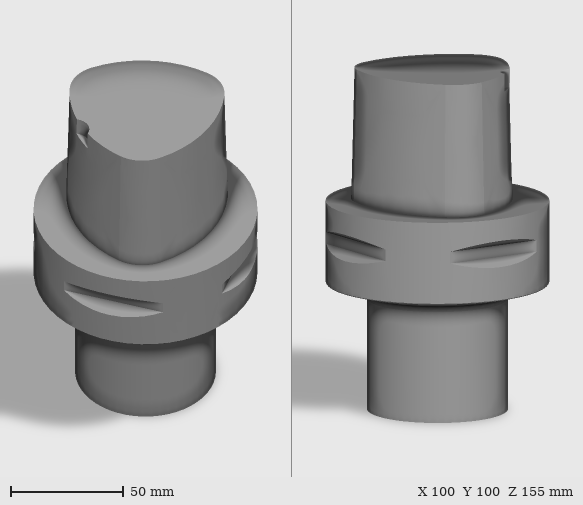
import cadquery as cq
import math

total_height = 155.0
taper_length = 60.0
flange_top = total_height - taper_length
flange_rim_height = 36.9
flange_rim_bottom = flange_top - flange_rim_height

flange_radius = 100.0 / 2
rim_chamfer = 0.5
shank_radius = 63.0 / 2
underside_angle = 15.5
neck_fillet_radius = 2.8

corner_reach = 38.9
side_reach = 33.2
corner_radius = 18.1
taper_angle = math.degrees(math.atan(1 / 40))
lobe_count = 3

notch_radius = 6.8
notch_depth = 8.4
notch_inner_y = -28.7

groove_count = 4
groove_first_angle = 45
groove_floor_distance = 44.2
groove_floor_width = 5.3
groove_wall_angle = 30
groove_center_z = flange_top - 16.0


def polar(radius, degrees):
    angle = math.radians(degrees)
    return (radius * math.cos(angle), radius * math.sin(angle))


def make_body():
    """Shank and flange, turned about Z."""
    underside_outer_radius = flange_radius - rim_chamfer
    underside_outer_z = flange_rim_bottom - rim_chamfer
    underside_drop = (underside_outer_radius - shank_radius) * math.tan(math.radians(underside_angle))
    neck_z = underside_outer_z - underside_drop
    body = (
        cq.Workplane("XZ")
        .moveTo(0, 0)
        .lineTo(shank_radius, 0)
        .lineTo(shank_radius, neck_z)
        .lineTo(underside_outer_radius, underside_outer_z)
        .lineTo(flange_radius, flange_rim_bottom)
        .lineTo(flange_radius, flange_top)
        .lineTo(0, flange_top)
        .close()
        .revolve(360, (0, 0, 0), (0, 1, 0))
    )
    neck_edge = cq.selectors.BoxSelector(
        (-flange_radius, -flange_radius, neck_z - 0.2),
        (flange_radius, flange_radius, neck_z + 0.2),
    )
    return body.edges(neck_edge).fillet(neck_fillet_radius)


def make_taper():
    """Tapered three-lobed stub made of six tangent arcs."""
    corner_center = corner_reach - corner_radius
    side_radius = (
        corner_center**2 + side_reach**2 - corner_center * side_reach - corner_radius**2
    ) / (2 * side_reach - 2 * corner_radius - corner_center)
    side_center = side_radius - side_reach
    center_x, center_y = polar(corner_center, -30)
    join_angle = math.degrees(math.atan2(center_x, side_center - center_y))
    join_x, join_y = polar(side_radius, join_angle - 90)
    join_y += side_center
    join_reach = math.hypot(join_x, join_y)
    join_direction = math.degrees(math.atan2(join_y, join_x))
    join_spread = join_direction + 90

    outline = cq.Workplane("XY").workplane(offset=flange_top).moveTo(*polar(join_reach, -90 - join_spread))
    for lobe in range(lobe_count):
        side_direction = -90 + lobe * 360 / lobe_count
        corner_direction = side_direction + 180 / lobe_count
        next_side_direction = side_direction + 360 / lobe_count
        outline = outline.threePointArc(
            polar(side_reach, side_direction),
            polar(join_reach, side_direction + join_spread),
        ).threePointArc(
            polar(corner_reach, corner_direction),
            polar(join_reach, next_side_direction - join_spread),
        )
    return outline.close().extrude(taper_length, taper=taper_angle)


def make_notch():
    """Round-backed cutter for the notch on the -Y side."""
    return (
        cq.Workplane("XY")
        .workplane(offset=total_height - notch_depth)
        .center(0, notch_inner_y - notch_radius)
        .circle(notch_radius)
        .extrude(notch_depth)
    )


def make_groove(angle):
    """Straight cutter with a flat floor and flared walls, facing the given direction."""
    floor_half = groove_floor_width / 2
    depth = flange_radius - groove_floor_distance
    mouth_half = floor_half + depth * math.tan(math.radians(groove_wall_angle))
    return (
        cq.Workplane("XZ")
        .polyline([
            (groove_floor_distance, groove_center_z - floor_half),
            (flange_radius, groove_center_z - mouth_half),
            (flange_radius, groove_center_z + mouth_half),
            (groove_floor_distance, groove_center_z + floor_half),
        ])
        .close()
        .extrude(flange_radius, both=True)
        .rotate((0, 0, 0), (0, 0, 1), angle)
    )


result = make_body().union(make_taper()).cut(make_notch())
for index in range(groove_count):
    result = result.cut(make_groove(groove_first_angle + index * 360 / groove_count))